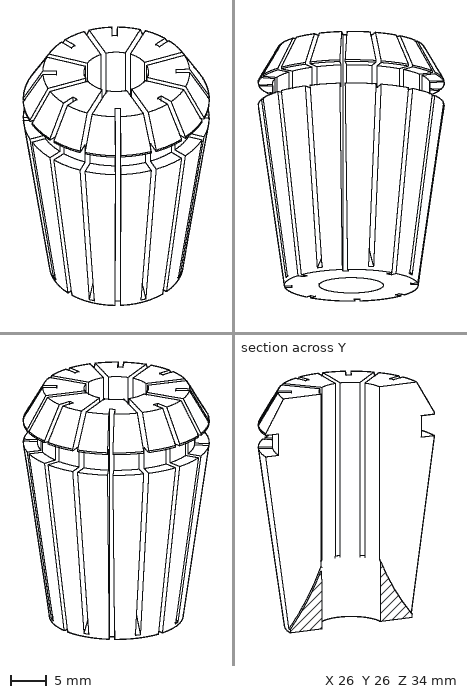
import cadquery as cq
import math

length = 34.0
max_radius = 13.0
bore_radius = 4.5

nose_half_angle = 30.0
nose_height = 4.75
rim_height = 0.25
groove_width = 3.1
groove_radius = 11.0
taper_half_angle = 8.0

slot_width = 0.75
full_slot_count = 8
full_slot_bore_z = 8.95
full_slot_outer_z = 0.5
saw_radius = 34.0
outer_slot_count = 8
outer_slot_inner_radius = 8.33

rim_bottom_z = length - nose_height - rim_height
groove_bottom_z = rim_bottom_z - groove_width
nose_radius = max_radius - nose_height * math.tan(math.radians(nose_half_angle))


def taper_radius(z):
    """Radius of the clamping taper at height z."""
    return max_radius - (groove_bottom_z - z) * math.tan(math.radians(taper_half_angle))


def make_body():
    """Revolved collet blank with its bore."""
    return (
        cq.Workplane("XZ")
        .moveTo(bore_radius, 0)
        .lineTo(taper_radius(0), 0)
        .lineTo(max_radius, groove_bottom_z)
        .lineTo(groove_radius, groove_bottom_z)
        .lineTo(groove_radius, rim_bottom_z)
        .lineTo(max_radius, rim_bottom_z)
        .lineTo(max_radius, rim_bottom_z + rim_height)
        .lineTo(nose_radius, length)
        .lineTo(bore_radius, length)
        .close()
        .revolve(360, (0, 0, 0), (0, 1, 0))
    )


def make_full_slot():
    """Slot open to the nose face, with a floor that falls in a saw arc from bore to taper."""
    outer_radius = taper_radius(full_slot_outer_z)
    return (
        cq.Workplane("XZ")
        .moveTo(0, full_slot_bore_z)
        .lineTo(bore_radius, full_slot_bore_z)
        .radiusArc((outer_radius, full_slot_outer_z), -saw_radius)
        .lineTo(max_radius, full_slot_outer_z)
        .lineTo(max_radius, length)
        .lineTo(0, length)
        .close()
        .extrude(slot_width / 2, both=True)
    )


def make_outer_slot():
    """Shallow slot cut from the outside along the whole length."""
    depth = max_radius - outer_slot_inner_radius
    return (
        cq.Workplane("XY")
        .box(depth, slot_width, length, centered=(False, True, False))
        .translate((outer_slot_inner_radius, 0, 0))
    )


def cut_around(body, cutter, count, start_angle):
    """Cut equally spaced copies of a cutter around the Z axis."""
    for index in range(count):
        angle = start_angle + index * 360 / count
        body = body.cut(cutter.rotate((0, 0, 0), (0, 0, 1), angle))
    return body


result = make_body()
result = cut_around(result, make_full_slot(), full_slot_count, 0)
result = cut_around(result, make_outer_slot(), outer_slot_count, 180 / outer_slot_count)